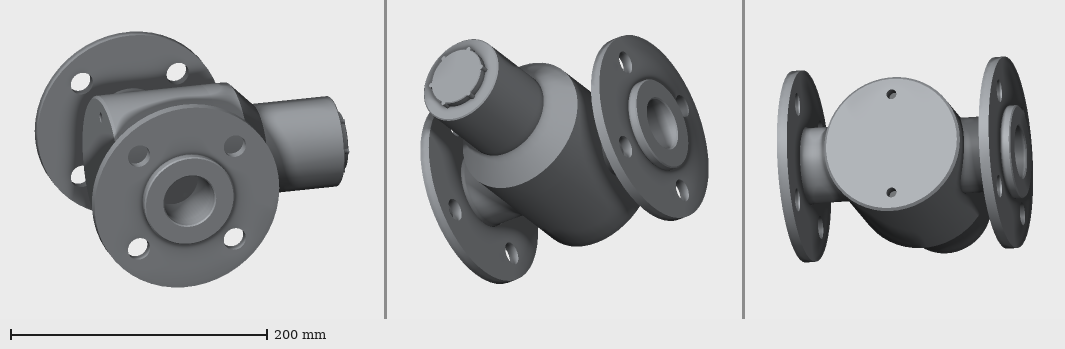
import cadquery as cq


flange_diameter = 150
flange_bore = 61.5
flange_thickness = 8
bolt_hole_diameter = 18
bolt_circle_diameter = 110
bolt_count = 4
first_bolt_angle = 45

overall_length = 186.01
pipe_diameter = 59.1
pipe_bore = 41
collar_diameter = 73
collar_thickness = 8
collar_chamfer = 1
bore_chamfer = 1
flange_seat_diameter = 61
flare_length = 2.8
socket_floor_x = 45

body_diameter = 109
housing_front_y = -45.5
housing_back_y = 40
housing_chamfer = 2
pin_hole_diameter = 7.94
pin_hole_depth = 10
pin_hole_spacing = 80

bonnet_cone_start_y = 60.8
bonnet_neck_diameter = 71
bonnet_back_y = 142.7
bonnet_chamfer = 1

knob_height = 6.2
knob_core_diameter = 47
knob_core_chamfer = 0.7
rib_count = 6
rib_radius = 2

pipe_end_x = overall_length / 2
flange_outer_x = pipe_end_x - collar_thickness
flange_inner_x = flange_outer_x - flange_thickness
flare_start_x = flange_inner_x - flare_length

bonnet_cone_end_y = bonnet_cone_start_y + (body_diameter - bonnet_neck_diameter) / 2


def cylinder_along_y(diameter, start_y, end_y):
    """Cylinder on the valve axis between two Y positions."""
    plane = cq.Workplane("XZ", origin=(0, start_y, 0))
    return plane.circle(diameter / 2).extrude(start_y - end_y)


def make_stub():
    """Pipe stub on the +X side: bored pipe, flare, flange seat and collar."""
    pipe_radius = pipe_diameter / 2
    seat_radius = flange_seat_diameter / 2
    collar_radius = collar_diameter / 2
    bore_radius = pipe_bore / 2
    profile = (
        cq.Workplane("XY")
        .moveTo(socket_floor_x, bore_radius)
        .lineTo(socket_floor_x, pipe_radius)
        .lineTo(flare_start_x, pipe_radius)
        .tangentArcPoint((flange_inner_x, seat_radius), relative=False)
        .lineTo(flange_outer_x, seat_radius)
        .lineTo(flange_outer_x, collar_radius - collar_chamfer)
        .lineTo(flange_outer_x + collar_chamfer, collar_radius)
        .lineTo(pipe_end_x - collar_chamfer, collar_radius)
        .lineTo(pipe_end_x, collar_radius - collar_chamfer)
        .lineTo(pipe_end_x, bore_radius + bore_chamfer)
        .lineTo(pipe_end_x - bore_chamfer, bore_radius)
        .close()
    )
    return profile.revolve(360, (0, 0, 0), (1, 0, 0))


def make_flange():
    """Loose flange on the +X side, behind the collar of its stub."""
    return (
        cq.Workplane("YZ", origin=(flange_inner_x, 0, 0))
        .circle(flange_diameter / 2)
        .circle(flange_bore / 2)
        .extrude(flange_thickness)
        .faces(">X")
        .workplane(origin=(0, 0, 0))
        .polarArray(bolt_circle_diameter / 2, first_bolt_angle, 360, bolt_count)
        .hole(bolt_hole_diameter)
    )


def make_housing():
    """Cylindrical housing with a socket for each stub and two blind pin holes in its front."""
    housing = cylinder_along_y(body_diameter, housing_front_y, housing_back_y)
    housing = housing.faces("<Y").chamfer(housing_chamfer)
    socket = (
        cq.Workplane("YZ", origin=(socket_floor_x, 0, 0))
        .circle(pipe_diameter / 2)
        .extrude(body_diameter / 2)
    )
    pin_holes = (
        cq.Workplane("XZ", origin=(0, housing_front_y, 0))
        .pushPoints([(0, -pin_hole_spacing / 2), (0, pin_hole_spacing / 2)])
        .circle(pin_hole_diameter / 2)
        .extrude(-pin_hole_depth)
    )
    return housing.cut(socket).cut(socket.mirror("YZ")).cut(pin_holes)


def make_bonnet():
    """Bonnet: short cylinder, 45 degree cone and long neck with a chamfered end."""
    body_radius = body_diameter / 2
    neck_radius = bonnet_neck_diameter / 2
    outline = [
        (0, housing_back_y),
        (body_radius, housing_back_y),
        (body_radius, bonnet_cone_start_y),
        (neck_radius, bonnet_cone_end_y),
        (neck_radius, bonnet_back_y - bonnet_chamfer),
        (neck_radius - bonnet_chamfer, bonnet_back_y),
        (0, bonnet_back_y),
    ]
    return cq.Workplane("XY").polyline(outline).close().revolve(360, (0, 0, 0), (0, 1, 0))


def make_knob():
    """Knob: round core with a chamfered end and half-round grip ribs along its rim."""
    knob_back_y = bonnet_back_y + knob_height
    core = cylinder_along_y(knob_core_diameter, bonnet_back_y, knob_back_y)
    core = core.faces(">Y").chamfer(knob_core_chamfer)
    ribs = (
        cq.Workplane("XZ", origin=(0, bonnet_back_y, 0))
        .polarArray(knob_core_diameter / 2, 0, 360, rib_count)
        .circle(rib_radius)
        .extrude(-knob_height)
    )
    return core.union(ribs)


housing = make_housing()
bonnet = make_bonnet()
knob = make_knob()

stub = make_stub()
flange = make_flange()
side_bodies = []
for side_angle in (0, 180):
    for body in (stub, flange):
        side_bodies.append(body.rotate((0, 0, 0), (0, 0, 1), side_angle).val())

result = cq.Compound.makeCompound([housing.val(), bonnet.val(), knob.val(), *side_bodies])